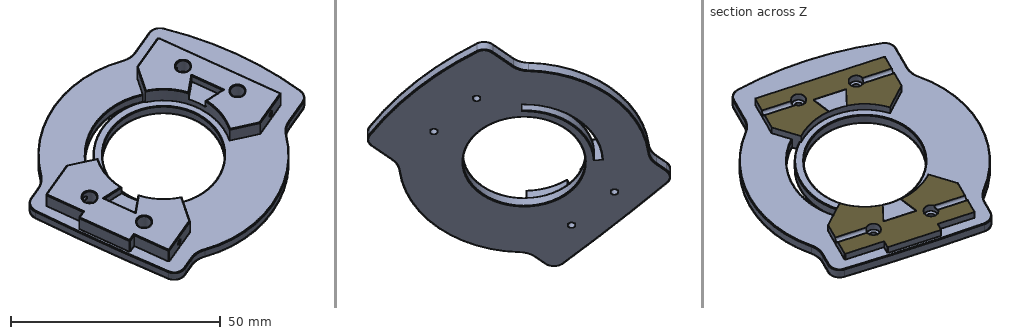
import cadquery as cq
import math

plate_thickness = 3.0
disc_diameter = 59.8
disc_radius = disc_diameter / 2
panel_length = 64.95
panel_width = 42.2
panel_top = 35.0
panel_bottom = panel_top - panel_length
top_edge_radius = 87.05
bottom_edge_radius = 649.6
corner_radius = 3.0
neck_radius = 5.5
edge_chamfer = 0.2

bore_diameter = 29.1
slot_inner_radius = 16.75
slot_outer_radius = 18.65
slot_angle = 90.0

total_height = 7.4
block_height = total_height - plate_thickness
block_width = 33.8
block_outer_y = 27.0
block_inner_radius = 16.3
tab_width = 14.0
tab_offset = 0.3
tab_outer_y = 29.1
tab_depth = 3.9

notch_back_y = 21.05
notch_back_width = 8.45
notch_mouth_width = 4.7
notch_depth = 2.4
notch_overrun = 0.65

screw_spacing = 14.95
screw_y = 22.5
screw_diameter = 1.8
counterbore_diameter = 3.5
side_hole_diameter = 1.4
side_hole_y = 22.0
side_hole_z = 5.0


def bowed_panel():
    """Panel with straight sides and gently bowed ends."""
    half = panel_width / 2
    top_side = panel_top - top_edge_radius + math.sqrt(top_edge_radius**2 - half**2)
    bottom_side = panel_bottom + bottom_edge_radius - math.sqrt(bottom_edge_radius**2 - half**2)
    return (
        cq.Workplane("XY")
        .moveTo(-half, bottom_side)
        .threePointArc((0, panel_bottom), (half, bottom_side))
        .lineTo(half, top_side)
        .threePointArc((0, panel_top), (-half, top_side))
        .close()
        .extrude(plate_thickness)
        .edges("|Z")
        .fillet(corner_radius)
    )


def curved_slot():
    """Arc-shaped cutter on the -X side of the bore, flared to chamfer both long rims."""
    flared_inner = slot_inner_radius - edge_chamfer
    flared_outer = slot_outer_radius + edge_chamfer
    upper_flare = plate_thickness - edge_chamfer
    section = [
        (-flared_inner, 0),
        (-slot_inner_radius, edge_chamfer),
        (-slot_inner_radius, upper_flare),
        (-flared_inner, plate_thickness),
        (-flared_outer, plate_thickness),
        (-slot_outer_radius, upper_flare),
        (-slot_outer_radius, edge_chamfer),
        (-flared_outer, 0),
    ]
    return (
        cq.Workplane("XZ")
        .polyline(section)
        .close()
        .revolve(slot_angle, (0, 0), (0, 1))
        .rotate((0, 0, 0), (0, 0, 1), -slot_angle / 2)
    )


def base_plate():
    """Outlined plate with filleted necks, the bore and the curved slot."""
    disc = cq.Workplane("XY").circle(disc_radius).extrude(plate_thickness)
    plate = disc.union(bowed_panel())
    neck_x = panel_width / 2
    neck_y = math.sqrt(disc_radius**2 - neck_x**2)
    for x in (-neck_x, neck_x):
        for y in (-neck_y, neck_y):
            corner = cq.selectors.NearestToPointSelector((x, y, plate_thickness / 2))
            plate = plate.edges("|Z").edges(corner).fillet(neck_radius)
    bore = cq.Workplane("XY").circle(bore_diameter / 2).extrude(plate_thickness)
    plate = plate.cut(bore)
    return plate.faces("<Z or >Z").edges().chamfer(edge_chamfer).cut(curved_slot())


def block_outline():
    """Block on the +Y side, its slanted ends lying on 45 degree radial lines."""
    half = block_width / 2
    inner = block_inner_radius * math.sqrt(0.5)
    return (
        cq.Workplane("XY", origin=(0, 0, plate_thickness))
        .moveTo(-half, half)
        .lineTo(-inner, inner)
        .threePointArc((0, block_inner_radius), (inner, inner))
        .lineTo(half, half)
        .lineTo(half, block_outer_y)
        .lineTo(-half, block_outer_y)
        .close()
        .extrude(block_height)
    )


def tab():
    """Tab on the outer side of a +Y block."""
    return (
        cq.Workplane("XY", origin=(-tab_offset, tab_outer_y - tab_depth / 2, plate_thickness))
        .rect(tab_width, tab_depth)
        .extrude(block_height)
        .edges("|Z and >Y")
        .chamfer(edge_chamfer)
    )


def dovetail_notch():
    """Cutter that widens outward, starting slightly inside the block's curved side."""
    mouth_y = block_inner_radius - notch_overrun
    flare = (notch_back_width - notch_mouth_width) / 2 / (notch_back_y - block_inner_radius)
    mouth_half = notch_mouth_width / 2 - flare * notch_overrun
    back_half = notch_back_width / 2
    return (
        cq.Workplane("XY", origin=(0, 0, total_height - notch_depth))
        .polyline(
            [
                (-mouth_half, mouth_y),
                (mouth_half, mouth_y),
                (back_half, notch_back_y),
                (-back_half, notch_back_y),
            ]
        )
        .close()
        .extrude(notch_depth)
    )


def block(with_tab):
    """Finished +Y block with its notch, counterbores and chamfered edges."""
    body = block_outline().edges("|Z and >Y").chamfer(edge_chamfer)
    if with_tab:
        body = body.union(tab())
    counterbores = (
        cq.Workplane("XY", origin=(0, 0, plate_thickness))
        .pushPoints([(-screw_spacing / 2, screw_y), (screw_spacing / 2, screw_y)])
        .circle(counterbore_diameter / 2)
        .extrude(block_height)
    )
    body = body.cut(dovetail_notch()).cut(counterbores)
    return body.faces(">Z").edges().chamfer(edge_chamfer)


def screw_hole(side, end):
    """Hole through the plate below a counterbore."""
    return (
        cq.Workplane("XY", origin=(side * screw_spacing / 2, end * screw_y, 0))
        .circle(screw_diameter / 2)
        .extrude(plate_thickness)
    )


def side_hole(side, end):
    """Cross hole from a block's side face into the counterbore."""
    length = (block_width - screw_spacing) / 2
    return (
        cq.Workplane("YZ", origin=(side * screw_spacing / 2, end * side_hole_y, side_hole_z))
        .circle(side_hole_diameter / 2)
        .extrude(side * length)
    )


plain_block = block(with_tab=False)
tabbed_block = block(with_tab=True).rotate((0, 0, 0), (0, 0, 1), 180)
result = base_plate().union(plain_block).union(tabbed_block)

for side in (-1, 1):
    for end in (-1, 1):
        result = result.cut(screw_hole(side, end)).cut(side_hole(side, end))